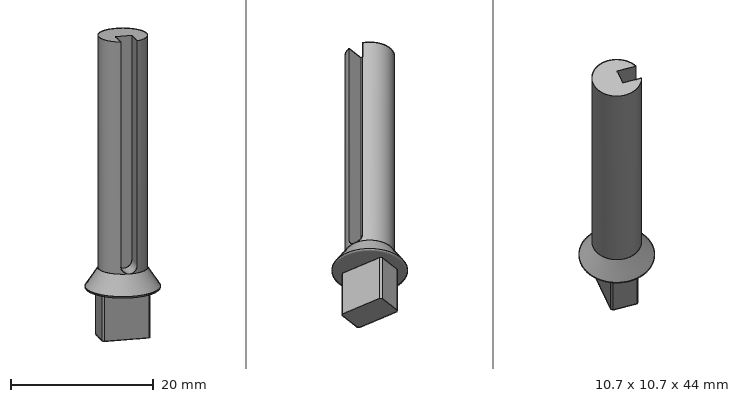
import cadquery as cq

total_height = 44.0
shank_diameter = 7.0

tang_height = 7.0
tang_width = 4.1
tang_depth = shank_diameter
tang_chamfer = 0.25

collar_diameter = 10.65
collar_top = 10.05
rim_height = 0.3

keyway_width = 2.38
keyway_floor_x = 0.5
keyway_bottom = collar_top


def make_tang():
    tang = cq.Workplane("XY").rect(tang_width, tang_depth).extrude(tang_height)
    return tang.edges("|Z").chamfer(tang_chamfer)


def make_shank_and_collar():
    shank_radius = shank_diameter / 2
    collar_radius = collar_diameter / 2
    profile = (
        cq.Workplane("XZ")
        .moveTo(0, tang_height)
        .lineTo(collar_radius - rim_height, tang_height)
        .tangentArcPoint((collar_radius, tang_height + rim_height), relative=False)
        .lineTo(shank_radius, collar_top)
        .lineTo(shank_radius, total_height)
        .lineTo(0, total_height)
        .close()
    )
    return profile.revolve(360, (0, 0), (0, 1))


def make_keyway():
    half_width = keyway_width / 2
    arc_center_z = keyway_bottom + half_width
    return (
        cq.Workplane("YZ", origin=(keyway_floor_x, 0, 0))
        .moveTo(-half_width, total_height)
        .lineTo(-half_width, arc_center_z)
        .threePointArc((0, keyway_bottom), (half_width, arc_center_z))
        .lineTo(half_width, total_height)
        .close()
        .extrude(shank_diameter)
    )


result = make_shank_and_collar().union(make_tang()).cut(make_keyway())